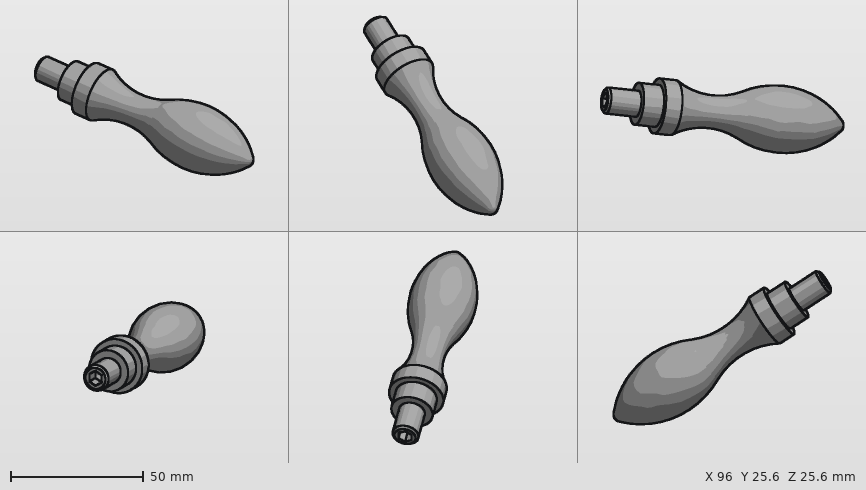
import cadquery as cq
import math

shank_diameter = 10.0
shank_chamfer = 0.92
spigot_diameter = 16.0
collar_diameter = 21.0
shank_end = 13.0
spigot_end = 21.0
collar_end = 27.5
neck_end = 54.75
overall_length = 96.0

neck_radius = 29.0
belly_diameter = 25.58
belly_peak_x = 70.4
tip_radius = 3.0

hex_sides = 6
hex_across_flats = 5.0
hex_depth = 6.0
hex_cone_angle = 120.0

belly_height = belly_diameter / 2
tip_center_x = overall_length - tip_radius
peak_to_tip = tip_center_x - belly_peak_x
belly_radius = (peak_to_tip**2 + belly_height**2 - tip_radius**2) / (2 * (belly_height - tip_radius))
belly_arc_center_y = belly_height - belly_radius
tip_angle = math.atan2(-belly_arc_center_y, peak_to_tip)


def belly_point(x):
    """Point of the belly arc at axial position x."""
    return x, belly_arc_center_y + math.sqrt(belly_radius**2 - (x - belly_peak_x) ** 2)


def tip_point(angle):
    """Point of the tip sphere at an angle from the handle axis."""
    return tip_center_x + tip_radius * math.cos(angle), tip_radius * math.sin(angle)


def make_handle():
    """Revolved body: shank, spigot, collar, concave neck, convex belly and rounded tip."""
    shank_radius = shank_diameter / 2
    profile = (
        cq.Workplane("XY")
        .moveTo(0, 0)
        .lineTo(0, shank_radius - shank_chamfer)
        .lineTo(shank_chamfer, shank_radius)
        .lineTo(shank_end, shank_radius)
        .lineTo(shank_end, spigot_diameter / 2)
        .lineTo(spigot_end, spigot_diameter / 2)
        .lineTo(spigot_end, collar_diameter / 2)
        .lineTo(collar_end, collar_diameter / 2)
        .radiusArc(belly_point(neck_end), -neck_radius)
        .threePointArc((belly_peak_x, belly_height), tip_point(tip_angle))
        .threePointArc(tip_point(tip_angle / 2), (overall_length, 0))
        .close()
    )
    return profile.revolve(360, (0, 0, 0), (1, 0, 0))


def make_hex_socket():
    """Hexagonal socket with two corners on the Z direction and a conical bottom."""
    across_corners = hex_across_flats / math.cos(math.pi / hex_sides)
    corner_radius = across_corners / 2
    cone_depth = corner_radius / math.tan(math.radians(hex_cone_angle / 2))
    socket_end = hex_depth + cone_depth
    prism = (
        cq.Workplane("YZ")
        .transformed(rotate=(0, 0, 90))
        .polygon(hex_sides, across_corners)
        .extrude(socket_end)
    )
    pointed_bore = (
        cq.Workplane("XY")
        .polyline([(0, 0), (0, corner_radius), (hex_depth, corner_radius), (socket_end, 0)])
        .close()
        .revolve(360, (0, 0, 0), (1, 0, 0))
    )
    return prism.intersect(pointed_bore)


result = make_handle().cut(make_hex_socket())